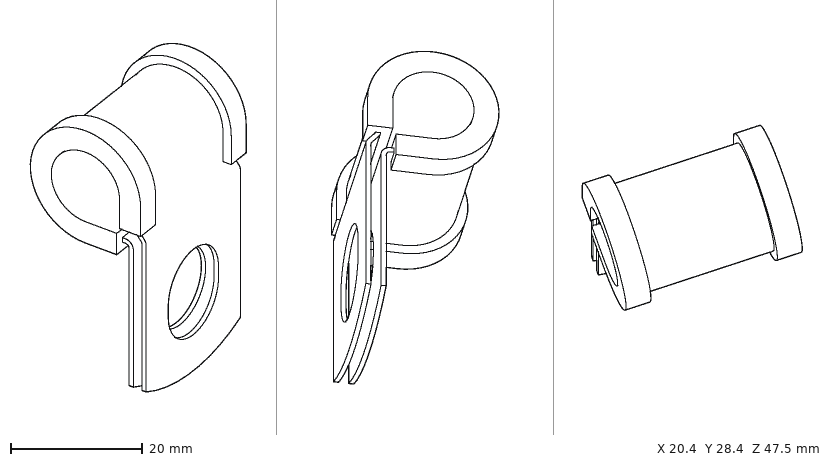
import cadquery as cq
import math

overall_height = 47.5
outer_radius = 10.2
bore_radius = 6.3
strap_thickness = 0.8
strap_outer_radius = 8.7
strap_inner_radius = strap_outer_radius - strap_thickness
side_leg_length = 5.25
bottom_leg_length = 5.8
overall_width = 28.45
flange_width = 4.05
strap_width = 25.45

inner_tab_x = 7.85
outer_tab_x = outer_radius
inner_bend_radius = 0.65
outer_bend_radius = inner_bend_radius + strap_thickness
jog_top_z = -5.45
jog_bottom_z = -7.3
strap_embed = 1.42
tab_bottom_z = outer_radius - overall_height
tab_corner_z = -34.35
hole_diameter = 13.5
hole_z = -22.95
slot_stretch = 2.0


def loop(outer, inner, width):
    """Three-quarter ring with straight legs, centered on Y."""
    diagonal = math.sqrt(0.5)
    return (
        cq.Workplane("XZ")
        .moveTo(outer, -side_leg_length)
        .lineTo(outer, 0)
        .threePointArc((-outer * diagonal, outer * diagonal), (0, -outer))
        .lineTo(bottom_leg_length, -outer)
        .lineTo(bottom_leg_length, -inner)
        .lineTo(0, -inner)
        .threePointArc((-inner * diagonal, inner * diagonal), (inner, 0))
        .lineTo(inner, -side_leg_length)
        .close()
        .extrude(width / 2, both=True)
    )


def bent_strip(points, bends):
    """Extrude a strip outline and round the listed (corner, radius) bends."""
    strip = cq.Workplane("XZ").polyline(points).close().extrude(strap_width / 2, both=True)
    for (x, z), radius in bends:
        strip = strip.edges(cq.NearestToPointSelector((x, 0, z))).fillet(radius)
    return strip


def inner_tab():
    """Tab leaving the bottom leg and turning down."""
    start_x = bottom_leg_length - strap_embed
    left_x = inner_tab_x - strap_thickness
    outside = (inner_tab_x, -strap_inner_radius)
    inside = (left_x, -strap_outer_radius)
    points = [
        (start_x, -strap_inner_radius), outside,
        (inner_tab_x, tab_bottom_z), (left_x, tab_bottom_z),
        inside, (start_x, -strap_outer_radius),
    ]
    return bent_strip(points, [(outside, outer_bend_radius), (inside, inner_bend_radius)])


def outer_tab():
    """Tab leaving the side leg and jogging outward before running down."""
    start_z = strap_embed - side_leg_length
    left_x = outer_tab_x - strap_thickness
    slant = math.atan2(left_x - strap_inner_radius, jog_top_z - jog_bottom_z)
    miter = strap_thickness / 2 * math.tan(slant / 2)
    top_right = (strap_outer_radius, jog_top_z + miter)
    bottom_right = (outer_tab_x, jog_bottom_z + miter)
    bottom_left = (left_x, jog_bottom_z - miter)
    top_left = (strap_inner_radius, jog_top_z - miter)
    points = [
        (strap_outer_radius, start_z), top_right, bottom_right,
        (outer_tab_x, tab_bottom_z), (left_x, tab_bottom_z),
        bottom_left, top_left, (strap_inner_radius, start_z),
    ]
    bends = [
        (top_right, inner_bend_radius), (bottom_right, outer_bend_radius),
        (bottom_left, inner_bend_radius), (top_left, outer_bend_radius),
    ]
    return bent_strip(points, bends)


def tab_outline():
    """Block with the rounded lower end shared by both tabs."""
    half_width = strap_width / 2
    return (
        cq.Workplane("YZ")
        .moveTo(-half_width, 0)
        .lineTo(-half_width, tab_corner_z)
        .threePointArc((0, tab_bottom_z), (half_width, tab_corner_z))
        .lineTo(half_width, 0)
        .close()
        .extrude(outer_radius)
    )


def bolt_hole():
    """Round cutter for the inner tab."""
    return cq.Workplane("YZ").center(0, hole_z).circle(hole_diameter / 2).extrude(outer_radius)


def bolt_slot():
    """Upright slot cutter for the outer tab, leaving room to align the bolt."""
    slot_height = hole_diameter + slot_stretch
    return cq.Workplane("YZ").center(0, hole_z).slot2D(slot_height, hole_diameter, 90).extrude(outer_radius)


result = loop(strap_outer_radius, bore_radius, overall_width)
flange_offset = (overall_width - flange_width) / 2
for side in (-1, 1):
    flange = loop(outer_radius, bore_radius, flange_width)
    result = result.union(flange.translate((0, side * flange_offset, 0)))

tabs = inner_tab().cut(bolt_hole()).union(outer_tab().cut(bolt_slot())).intersect(tab_outline())
result = result.union(tabs)